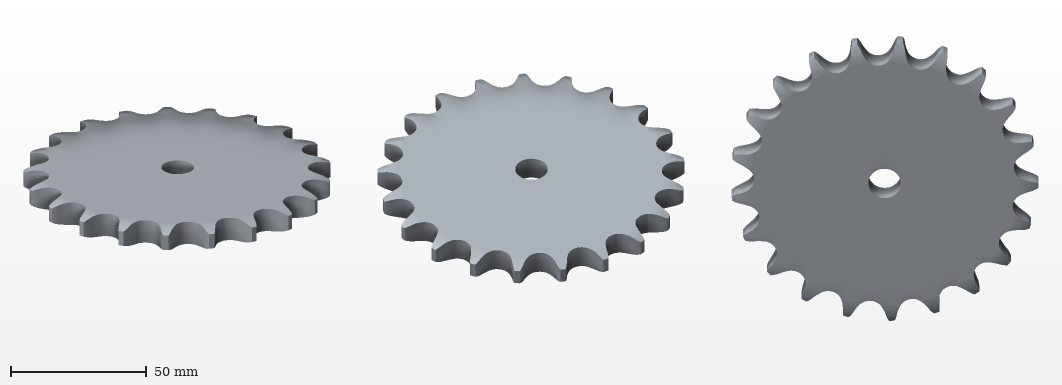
import cadquery as cq
import math

tooth_count = 21
thickness = 9.1
bore_diameter = 12.0
pitch_radius = 53.2
outer_radius = 56.7
roller_diameter = 10.2
roller_clearance = 0.038

side_round_start_radius = 49.7
side_round_radius = 16.0

tooth_angle = 360 / tooth_count
seat_half_angle = 90 - (35 + 60 / tooth_count)
working_turn = 18 - 56 / tooth_count
topping_offset_angle = 17 - 64 / tooth_count
flank_angle = seat_half_angle + working_turn
topping_turn = 25

seat_radius = 0.5025 * roller_diameter + roller_clearance
working_radius = 1.3025 * roller_diameter + roller_clearance
working_sine = math.sin(math.radians(working_turn))
working_cosine = math.cos(math.radians(working_turn))
topping_sine = math.sin(math.radians(topping_offset_angle))
topping_cosine = math.cos(math.radians(topping_offset_angle))
flank_length = roller_diameter * (1.4 * topping_sine - 0.8 * working_sine)
topping_radius = (
    roller_diameter * (0.8 * working_cosine + 1.4 * topping_cosine - 1.3025) - roller_clearance
)


def arc_points(start, start_angle, turn, radius):
    """Return the middle and end of an arc that leaves start at start_angle and turns by turn.

    Angles are in degrees above +X; a negative turn bends clockwise.
    """
    side = math.copysign(radius, turn)

    def point_at(angle):
        a0 = math.radians(start_angle)
        a1 = math.radians(angle)
        x = start[0] + side * (math.sin(a1) - math.sin(a0))
        y = start[1] - side * (math.cos(a1) - math.cos(a0))
        return (x, y)

    return point_at(start_angle + turn / 2), point_at(start_angle + turn)


def mirrored(point):
    return (-point[0], point[1])


def make_blank():
    """Disc whose rim narrows along a circular arc on both faces."""
    half = thickness / 2
    reach = outer_radius - side_round_start_radius

    def round_height(distance):
        return half - side_round_radius + math.sqrt(side_round_radius**2 - distance**2)

    middle_radius = side_round_start_radius + reach / 2
    middle_height = round_height(reach / 2)
    tip_height = round_height(reach)
    return (
        cq.Workplane("XZ")
        .moveTo(0, -half)
        .lineTo(side_round_start_radius, -half)
        .threePointArc((middle_radius, -middle_height), (outer_radius, -tip_height))
        .lineTo(outer_radius, tip_height)
        .threePointArc((middle_radius, middle_height), (side_round_start_radius, half))
        .lineTo(0, half)
        .close()
        .revolve(360, (0, 0, 0), (0, 1, 0))
    )


def make_gap():
    """Cutter for one tooth gap, centred on +Y."""
    seat_bottom = (0, pitch_radius - seat_radius)
    _, seat_end = arc_points(seat_bottom, 0, seat_half_angle, seat_radius)
    working_middle, working_end = arc_points(seat_end, seat_half_angle, working_turn, working_radius)
    flank_end = (
        working_end[0] + flank_length * math.cos(math.radians(flank_angle)),
        working_end[1] + flank_length * math.sin(math.radians(flank_angle)),
    )
    topping_middle, topping_end = arc_points(flank_end, flank_angle, -topping_turn, topping_radius)
    return (
        cq.Workplane("XY")
        .workplane(offset=-thickness)
        .moveTo(*mirrored(topping_end))
        .threePointArc(mirrored(topping_middle), mirrored(flank_end))
        .lineTo(*mirrored(working_end))
        .threePointArc(mirrored(working_middle), mirrored(seat_end))
        .threePointArc(seat_bottom, seat_end)
        .threePointArc(working_middle, working_end)
        .lineTo(*flank_end)
        .threePointArc(topping_middle, topping_end)
        .close()
        .extrude(2 * thickness)
    )


sprocket = make_blank().faces(">Z").workplane().hole(bore_diameter)

gap = make_gap()
for index in range(tooth_count):
    sprocket = sprocket.cut(gap.rotate((0, 0, 0), (0, 0, 1), index * tooth_angle))

result = sprocket